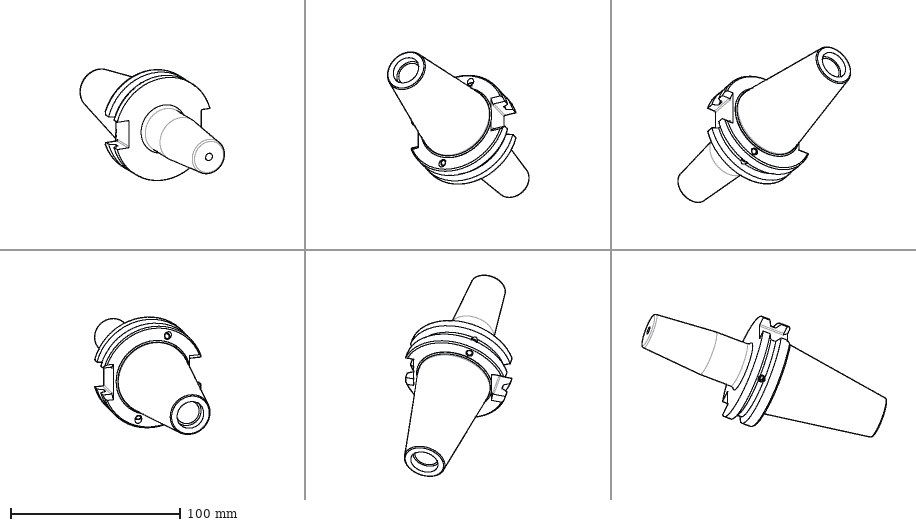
import cadquery as cq
import math

total_length = 148.2

taper_length = 67.9
gauge_radius = 22.2
taper_ratio = 7 / 24
tail_chamfer = 0.6
relief_radius = 0.6
relief_center_radius = 22.5

flange_start = 69.4
flange_end = 87.5
flange_radius = 31.7
flange_chamfer = 0.9
groove_center = 79.5
groove_floor_radius = 28.3
groove_floor_width = 3.1
groove_top_width = 7.1

nose_radius = 13.5
nose_taper_start = 110.0
nose_tip_radius = 10.5
nose_tip_fillet = 1.0
root_arc_radius = 3.5
root_arc_length = 2.8

mouth_radius = 8.3
mouth_depth = 5.0
thread_radius = 7.1
thread_depth = 32.0
pilot_radius = 3.5
pilot_length = 8.9
through_radius = 2.2
drill_half_angle = 59.0

slot_half_width = 8.5
slot_floor_front = 22.7
slot_floor_back = 24.9
slot_floor_fillet = 0.7
slot_entry_chamfer = 2.7

coolant_angle = 20.0
coolant_radius = 1.5
seat_radius = 2.0
seat_depth = 1.6
coolant_face_distance = 27.0
coolant_slant = 33.0

tail_radius = gauge_radius - taper_length * taper_ratio / 2
groove_floor_half = groove_floor_width / 2
groove_top_half = groove_top_width / 2
root_arc_height = root_arc_radius - math.sqrt(root_arc_radius**2 - root_arc_length**2)
root_end = flange_end + root_arc_length


def root_arc_middle():
    """Point halfway along the concave root arc, which is tangent to the nose cylinder."""
    half_sweep = math.asin(root_arc_length / root_arc_radius) / 2
    x = root_end - root_arc_radius * math.sin(half_sweep)
    r = nose_radius + root_arc_radius * (1 - math.cos(half_sweep))
    return x, r


def relief_arc():
    """Start, deepest point and end of the undercut arc, centred on the flange face."""
    start_offset = math.sqrt(relief_radius**2 - (relief_center_radius - gauge_radius) ** 2)
    start = (flange_start - start_offset, gauge_radius)
    bottom = (flange_start + relief_radius, relief_center_radius)
    end = (flange_start, relief_center_radius + relief_radius)
    return start, bottom, end


def revolve_about_x(half_profile):
    """Close a half profile drawn in XY and spin it a full turn about X."""
    return half_profile.close().revolve(360, (0, 0, 0), (1, 0, 0))


def make_body():
    """Solid of revolution: taper shank, neck, grooved flange and nose."""
    relief_start, relief_bottom, relief_end = relief_arc()
    half_profile = (
        cq.Workplane("XY")
        .moveTo(0, 0)
        .lineTo(0, tail_radius - tail_chamfer)
        .lineTo(tail_chamfer, tail_radius + tail_chamfer * taper_ratio / 2)
        .lineTo(taper_length, gauge_radius)
        .lineTo(*relief_start)
        .threePointArc(relief_bottom, relief_end)
        .lineTo(flange_start, flange_radius - flange_chamfer)
        .lineTo(flange_start + flange_chamfer, flange_radius)
        .lineTo(groove_center - groove_top_half, flange_radius)
        .lineTo(groove_center - groove_floor_half, groove_floor_radius)
        .lineTo(groove_center + groove_floor_half, groove_floor_radius)
        .lineTo(groove_center + groove_top_half, flange_radius)
        .lineTo(flange_end, flange_radius)
        .lineTo(flange_end, nose_radius + root_arc_height)
        .threePointArc(root_arc_middle(), (root_end, nose_radius))
        .lineTo(nose_taper_start, nose_radius)
        .lineTo(total_length, nose_tip_radius)
        .lineTo(total_length, 0)
    )
    return revolve_about_x(half_profile).faces(">X").edges().fillet(nose_tip_fillet)


def make_bore():
    """Stepped bore: mouth, thread bore and pilot with drill-point ends, through hole."""
    drill_slope = 1 / math.tan(math.radians(drill_half_angle))
    pilot_start = thread_depth + (thread_radius - pilot_radius) * drill_slope
    pilot_end = pilot_start + pilot_length
    through_start = pilot_end + (pilot_radius - through_radius) * drill_slope
    half_profile = (
        cq.Workplane("XY")
        .moveTo(0, 0)
        .lineTo(0, mouth_radius)
        .lineTo(mouth_depth, mouth_radius)
        .lineTo(mouth_depth, thread_radius)
        .lineTo(thread_depth, thread_radius)
        .lineTo(pilot_start, pilot_radius)
        .lineTo(pilot_end, pilot_radius)
        .lineTo(through_start, through_radius)
        .lineTo(total_length, through_radius)
        .lineTo(total_length, 0)
    )
    return revolve_about_x(half_profile)


def make_drive_slot(side, floor_distance):
    """Slot cutter on the +Y (side = 1) or -Y (side = -1) rim, flared at the shank end."""
    depth = flange_radius - floor_distance
    slot = (
        cq.Workplane("XY")
        .box(flange_end - flange_start, depth, 2 * slot_half_width, centered=(False, False, True))
        .faces("<Y")
        .edges("|X")
        .fillet(slot_floor_fillet)
    )
    mouth_half_width = slot_half_width + slot_entry_chamfer
    flare = (
        cq.Workplane("XZ")
        .polyline(
            [
                (0, -mouth_half_width),
                (slot_entry_chamfer, -slot_half_width),
                (slot_entry_chamfer, slot_half_width),
                (0, mouth_half_width),
            ]
        )
        .close()
        .extrude(-depth)
    )
    cutter = slot.union(flare).translate((flange_start, floor_distance, 0))
    return cutter if side > 0 else cutter.mirror("XZ")


def make_seated_hole(opening, end):
    """Hole from an opening to its end point, with a wider seat that also clears the surface."""
    direction = (end - opening).normalized()
    clearance = direction * (2 * seat_radius)
    hole = cq.Solid.makeCylinder(coolant_radius, (end - opening).Length, opening, direction)
    seat = cq.Solid.makeCylinder(
        seat_radius, seat_depth + clearance.Length, opening - clearance, direction
    )
    return cq.Workplane(obj=hole).union(cq.Workplane(obj=seat))


def make_coolant_channel():
    """Slanted hole from the flange face, met by a radial hole from the groove floor."""
    drop = (groove_center - flange_start) * math.tan(math.radians(coolant_slant))
    meeting = cq.Vector(groove_center, 0, coolant_face_distance - drop)
    face_opening = cq.Vector(flange_start, 0, coolant_face_distance)
    groove_opening = cq.Vector(groove_center, 0, groove_floor_radius)
    slanted = make_seated_hole(face_opening, meeting)
    return slanted.union(make_seated_hole(groove_opening, meeting))


result = make_body().cut(make_bore())

for side, floor_distance in ((-1, slot_floor_front), (1, slot_floor_back)):
    result = result.cut(make_drive_slot(side, floor_distance))

channel = make_coolant_channel()
for half_turn in (0, 180):
    result = result.cut(channel.rotate((0, 0, 0), (1, 0, 0), coolant_angle + half_turn))